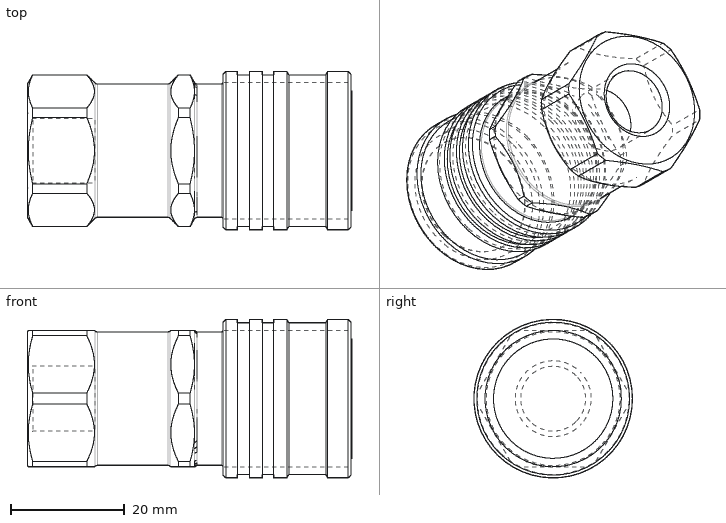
import cadquery as cq
import math

total_length = 57.0
sleeve_start = 34.3
sleeve_end = 56.85

barrel_radius = 11.75
across_flats = 24.0
hex_corner_radius = 13.35
root_radius = 0.55
steep_angle = 60.0
even_angle = 45.0

inlet_face_radius = 11.75
inlet_land_end = 10.45
middle_land_start = 26.5
middle_land_end = 28.55

spigot_radius = 11.95
nose_radius = 10.5

hole_radius = 5.7
hole_mouth_radius = 6.65
hole_depth = 11.85

rim_radius = 13.935
groove_radius = 13.35
rim_chamfer = 0.5
ridge_groove_spans = [(36.9, 39.0), (41.25, 43.2)]
grip_start = 45.55
grip_end = 52.7
grip_flank = 0.35


def cone_length(drop, angle):
    """Axial length of a cone that changes its radius by drop."""
    return drop / math.tan(math.radians(angle))


def root_points(land_x, direction, angle):
    """Cone from a hex land towards the barrel, then the fillet that meets the barrel.

    Returns the cone end, the middle of the fillet arc and the fillet end.
    """
    turn = math.radians(angle)
    cone_end_radius = barrel_radius + root_radius * (1 - math.cos(turn))
    cone_end_x = land_x + direction * cone_length(hex_corner_radius - cone_end_radius, angle)
    fillet_end_x = cone_end_x + direction * root_radius * math.sin(turn)
    middle_x = fillet_end_x - direction * root_radius * math.sin(turn / 2)
    middle_radius = barrel_radius + root_radius * (1 - math.cos(turn / 2))
    return (cone_end_x, cone_end_radius), (middle_x, middle_radius), (fillet_end_x, barrel_radius)


def revolve_about_x(profile):
    return profile.close().revolve(360, (0, 0, 0), (1, 0, 0))


def make_turned_body():
    """Body of revolution before the wrench flats are cut."""
    inlet_land_start = cone_length(hex_corner_radius - inlet_face_radius, steep_angle)
    inlet_cone, inlet_middle, inlet_root = root_points(inlet_land_end, 1, even_angle)
    left_cone, left_middle, left_root = root_points(middle_land_start, -1, even_angle)
    right_cone, right_middle, right_root = root_points(middle_land_end, 1, steep_angle)
    flare = spigot_radius - barrel_radius
    flare_middle = (sleeve_start - flare * (1 - math.sin(math.pi / 4)),
                    spigot_radius - flare * math.cos(math.pi / 4))
    profile = (
        cq.Workplane("XY")
        .moveTo(0, 0)
        .lineTo(0, inlet_face_radius)
        .lineTo(inlet_land_start, hex_corner_radius)
        .lineTo(inlet_land_end, hex_corner_radius)
        .lineTo(*inlet_cone)
        .threePointArc(inlet_middle, inlet_root)
        .lineTo(*left_root)
        .threePointArc(left_middle, left_cone)
        .lineTo(middle_land_start, hex_corner_radius)
        .lineTo(middle_land_end, hex_corner_radius)
        .lineTo(*right_cone)
        .threePointArc(right_middle, right_root)
        .lineTo(sleeve_start - flare, barrel_radius)
        .threePointArc(flare_middle, (sleeve_start, spigot_radius))
        .lineTo(sleeve_end, spigot_radius)
        .lineTo(sleeve_end, nose_radius)
        .lineTo(total_length, nose_radius)
        .lineTo(total_length, 0)
    )
    return revolve_about_x(profile)


def make_hex_envelope():
    """Hexagonal bar with flats on top and bottom, as long as the body."""
    corner_diameter = across_flats / math.cos(math.radians(30))
    return cq.Workplane("YZ").polygon(6, corner_diameter).extrude(total_length)


def make_inlet_hole():
    """Blind hole with a countersunk mouth in the inlet face."""
    mouth_depth = cone_length(hole_mouth_radius - hole_radius, even_angle)
    profile = (
        cq.Workplane("XY")
        .moveTo(0, 0)
        .lineTo(0, hole_mouth_radius)
        .lineTo(mouth_depth, hole_radius)
        .lineTo(hole_depth, hole_radius)
        .lineTo(hole_depth, 0)
    )
    return revolve_about_x(profile)


def make_body():
    return make_turned_body().intersect(make_hex_envelope()).cut(make_inlet_hole())


def make_sleeve():
    """Ring around the spigot with chamfered ends, two ridge grooves and a wide grip groove."""
    profile = (
        cq.Workplane("XY")
        .moveTo(sleeve_start, spigot_radius)
        .lineTo(sleeve_start, rim_radius - rim_chamfer)
        .lineTo(sleeve_start + rim_chamfer, rim_radius)
    )
    for groove_start, groove_end in ridge_groove_spans:
        profile = (
            profile
            .lineTo(groove_start, rim_radius)
            .lineTo(groove_start, groove_radius)
            .lineTo(groove_end, groove_radius)
            .lineTo(groove_end, rim_radius)
        )
    profile = (
        profile
        .lineTo(grip_start, rim_radius)
        .lineTo(grip_start + grip_flank, groove_radius)
        .lineTo(grip_end - grip_flank, groove_radius)
        .lineTo(grip_end, rim_radius)
        .lineTo(sleeve_end - rim_chamfer, rim_radius)
        .lineTo(sleeve_end, rim_radius - rim_chamfer)
        .lineTo(sleeve_end, spigot_radius)
    )
    return revolve_about_x(profile)


body = make_body()
sleeve = make_sleeve()
result = cq.Compound.makeCompound([body.val(), sleeve.val()])